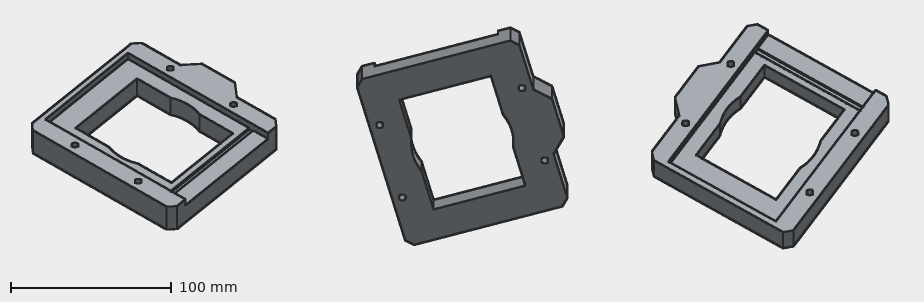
import cadquery as cq

length = 118.2
body_width = 105.2
total_width = 114.7
thickness = 19.5
corner_chamfer = 4.6
center_x = length / 2
center_y = body_width / 2

tab_base_length = 46.1
tab_tip_length = 27.0

recess_start = 4.1
recess_width = 79.8
recess_depth = 5.0
groove_start = 102.8
groove_end = 106.0
groove_depth = 6.1

window_start = 20.1
window_length = 78.0
window_width = 59.3
round_diameter = 63.8

hole_diameter = 4.3
hole_spacing_x = 51.5
hole_spacing_y = 92.2


def make_plate():
    body = (
        cq.Workplane("XY")
        .box(length, body_width, thickness, centered=False)
        .edges("|Z")
        .chamfer(corner_chamfer)
    )
    tab = (
        cq.Workplane("XY")
        .moveTo(center_x - tab_base_length / 2, body_width)
        .lineTo(center_x - tab_tip_length / 2, total_width)
        .lineTo(center_x + tab_tip_length / 2, total_width)
        .lineTo(center_x + tab_base_length / 2, body_width)
        .lineTo(center_x + tab_base_length / 2, center_y)
        .lineTo(center_x - tab_base_length / 2, center_y)
        .close()
        .extrude(thickness)
    )
    return body.union(tab)


def recess_cutter(start, end, depth):
    """Cutter for one stretch of the recess, from the top face down."""
    return (
        cq.Workplane("XY")
        .box(end - start, recess_width, depth, centered=(False, True, False))
        .translate((start, center_y, thickness - depth))
    )


def make_window():
    opening = (
        cq.Workplane("XY")
        .box(window_length, window_width, thickness, centered=(False, True, False))
        .translate((window_start, center_y, 0))
    )
    round_opening = (
        cq.Workplane("XY")
        .center(center_x, center_y)
        .circle(round_diameter / 2)
        .extrude(thickness)
    )
    return opening.union(round_opening)


def make_holes():
    return (
        cq.Workplane("XY")
        .center(center_x, center_y)
        .rect(hole_spacing_x, hole_spacing_y, forConstruction=True)
        .vertices()
        .circle(hole_diameter / 2)
        .extrude(thickness)
    )


result = (
    make_plate()
    .cut(recess_cutter(recess_start, length, recess_depth))
    .cut(recess_cutter(groove_start, groove_end, groove_depth))
    .cut(make_window())
    .cut(make_holes())
)